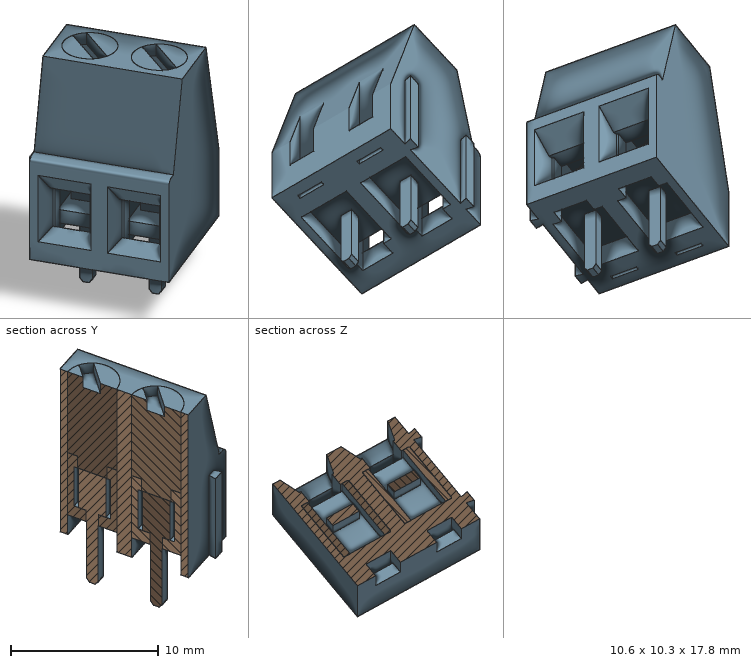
import cadquery as cq
import math


pole_pitch = 5.0
pole_count = 2
housing_width = 10.04
housing_depth = 10.3
housing_height = 14.3
shelf_height = 7.83
shelf_depth = 0.9
shelf_radius = 0.46
top_front_y = 2.72
top_back_y = 7.6
back_wall_height = 4.95
first_pole_x = (housing_width - (pole_count - 1) * pole_pitch) / 2
pole_positions = [first_pole_x + i * pole_pitch for i in range(pole_count)]

rib_reach = 0.57
rib_height = 6.98
rib_tip_width = 0.89
rib_root_width = 0.64
rib_positions = (2.0, 8.37)

window_width = 3.81
window_bottom = 1.48
window_top = 6.59
funnel_depth = 1.58
funnel_inset = 0.5
entry_roof = 5.04
roof_slope_depth = 1.3
passage_width = 2.53

screw_diameter = 3.81
screw_y = 5.2
shank_diameter = 2.31
drive_slot_width = 1.01
drive_slot_depth = 0.89
drive_slot_angle = -48.5

clamp_width = window_width
clamp_front_y = 2.63
clamp_depth = 2 * (screw_y - clamp_front_y)
clamp_bottom = 1.7
clamp_bar_height = 1.03
clamp_opening_width = window_width - 2 * funnel_inset
clamp_opening_height = 3.38
clamp_opening_bottom = clamp_bottom + clamp_bar_height
clamp_opening_top = clamp_opening_bottom + clamp_opening_height
clamp_top = clamp_opening_top + clamp_bar_height

pin_length = 3.5
pin_width = 0.9
pin_thickness = 0.8
pin_front_y = 4.4
pin_tip_chamfer_x = 0.23
pin_tip_chamfer_z = 0.28
plate_width = 2.17

back_slot_width = 2.0
back_slot_depth = 1.17
back_ledge_depth = 0.9
back_ledge_height = 2.47


def block(width, depth, height, x, y, z):
    """Box centred on x, starting at y and z."""
    return cq.Workplane("XY").box(width, depth, height, centered=(True, False, False)).translate((x, y, z))


def upright_cylinder(diameter, bottom, top, x):
    """Cylinder on the screw axis of the pole at x."""
    return cq.Workplane("XY", origin=(x, screw_y, bottom)).circle(diameter / 2).extrude(top - bottom)


def funnel_section(depth, top):
    """Window rectangle at a depth behind the front face: its sides and floor close in with depth."""
    inset = funnel_inset * depth / funnel_depth
    half_width = window_width / 2 - inset
    floor = window_bottom + inset
    return [(-half_width, floor), (half_width, floor), (half_width, top), (-half_width, top)]


def funnel_stage(x, start_depth, start_top, end_depth, end_top):
    return (
        cq.Workplane("XZ", origin=(x, start_depth, 0))
        .polyline(funnel_section(start_depth, start_top))
        .close()
        .workplane(offset=start_depth - end_depth)
        .polyline(funnel_section(end_depth, end_top))
        .close()
        .loft(ruled=True)
    )


def make_wire_entry(x):
    """Funnel with a sloped, then level roof, ending in a narrower passage that is open below."""
    sloped = funnel_stage(x, 0, window_top, roof_slope_depth, entry_roof)
    level = funnel_stage(x, roof_slope_depth, entry_roof, funnel_depth, entry_roof)
    passage = block(passage_width, clamp_front_y - funnel_depth, entry_roof, x, funnel_depth, 0)
    return sloped.union(level).union(passage)


def make_back_slot(x):
    """Slot through the back wall that leaves a low ledge at the rear."""
    slot = block(back_slot_width, back_slot_depth, housing_height, x, housing_depth - back_slot_depth, 0)
    ledge = block(
        back_slot_width, back_ledge_depth, back_ledge_height, x, housing_depth - back_ledge_depth, 0
    )
    return slot.cut(ledge)


def make_rib(y):
    """Dovetail rib that widens away from the housing."""
    outline = [
        (0, y - rib_root_width / 2),
        (0, y + rib_root_width / 2),
        (-rib_reach, y + rib_tip_width / 2),
        (-rib_reach, y - rib_tip_width / 2),
    ]
    return cq.Workplane("XY").polyline(outline).close().extrude(rib_height)


def make_housing():
    corner = shelf_radius * (1 - math.sqrt(0.5))
    housing = (
        cq.Workplane("YZ")
        .moveTo(0, 0)
        .lineTo(0, shelf_height - shelf_radius)
        .threePointArc((corner, shelf_height - corner), (shelf_radius, shelf_height))
        .lineTo(shelf_depth, shelf_height)
        .lineTo(top_front_y, housing_height)
        .lineTo(top_back_y, housing_height)
        .lineTo(housing_depth, back_wall_height)
        .lineTo(housing_depth, 0)
        .close()
        .extrude(housing_width)
    )
    for y in rib_positions:
        housing = housing.union(make_rib(y))
    for x in pole_positions:
        clamp_chamber = block(clamp_width, clamp_depth, clamp_top, x, clamp_front_y, 0)
        screw_bore = upright_cylinder(screw_diameter, clamp_top, housing_height, x)
        housing = housing.cut(make_wire_entry(x)).cut(clamp_chamber).cut(screw_bore).cut(make_back_slot(x))
    return housing


def make_screw(x):
    """Slotted screw, flush with the housing top, with its shank through the clamp's upper bar."""
    head = upright_cylinder(screw_diameter, clamp_top, housing_height, x)
    shank = upright_cylinder(shank_diameter, clamp_opening_top, clamp_top, x)
    drive_slot = (
        cq.Workplane("XY", origin=(x, screw_y, housing_height))
        .transformed(rotate=(0, 0, drive_slot_angle))
        .rect(2 * screw_diameter, drive_slot_width)
        .extrude(-drive_slot_depth)
    )
    return head.union(shank).cut(drive_slot)


def make_clamp(x):
    """Clamp tube with a screw hole in its upper bar and a pin hole in its lower bar."""
    tube = block(clamp_width, clamp_depth, clamp_top - clamp_bottom, x, clamp_front_y, clamp_bottom)
    opening = block(
        clamp_opening_width, clamp_depth, clamp_opening_height, x, clamp_front_y, clamp_opening_bottom
    )
    screw_hole = upright_cylinder(shank_diameter, clamp_opening_top, clamp_top, x)
    pin_hole = block(pin_width, pin_thickness, clamp_bar_height, x, pin_front_y, clamp_bottom)
    return tube.cut(opening).cut(screw_hole).cut(pin_hole)


def make_pin(x):
    """Solder pin with a chamfered tip, topped by a wider contact plate inside the clamp."""
    half_width = pin_width / 2
    half_tip = half_width - pin_tip_chamfer_x
    tip_z = -pin_length
    shoulder_z = tip_z + pin_tip_chamfer_z
    outline = [
        (-half_tip, tip_z),
        (half_tip, tip_z),
        (half_width, shoulder_z),
        (half_width, clamp_opening_bottom),
        (-half_width, clamp_opening_bottom),
        (-half_width, shoulder_z),
    ]
    leg = (
        cq.Workplane("XZ", origin=(x, pin_front_y, 0)).polyline(outline).close().extrude(-pin_thickness)
    )
    plate = block(plate_width, pin_thickness, clamp_opening_height, x, pin_front_y, clamp_opening_bottom)
    return leg.union(plate)


housing = make_housing()
screws = [make_screw(x) for x in pole_positions]
clamps = [make_clamp(x) for x in pole_positions]
pins = [make_pin(x) for x in pole_positions]

result = cq.Compound.makeCompound([body.val() for body in [housing, *screws, *clamps, *pins]])